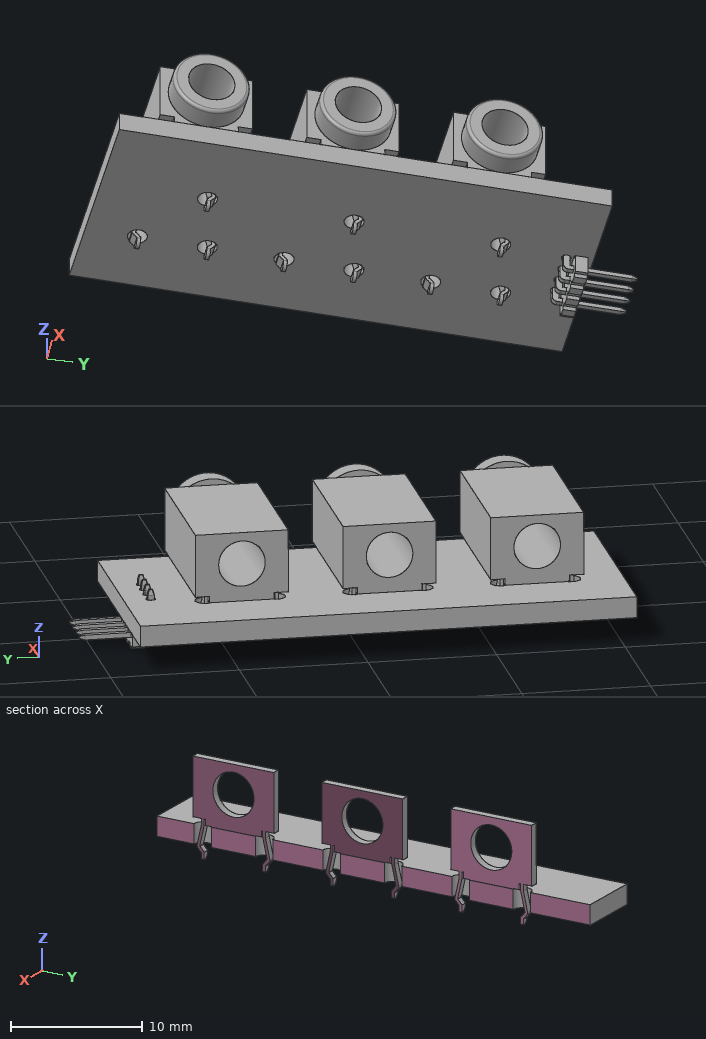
import cadquery as cq
import math


BOARD_X = 17.0
BOARD_Y = 38.6
BOARD_Z = 1.7

JACK_COUNT = 3
JACK_PITCH = 11.48
FIRST_JACK_Y = 6.8
BLOCK_X = 12.2
BLOCK_Y = 7.25
BLOCK_Z = 4.95
FOOT_Y = 5.0
FOOT_Z = 0.5
COLLAR_LENGTH = 1.85
COLLAR_DIAMETER = 5.95
COLLAR_FILLET = 0.25
BORE_DIAMETER = 3.6
JACK_LEFT_X = BOARD_X - BLOCK_X
JACK_AXIS_Z = BOARD_Z + FOOT_Z + BLOCK_Z / 2

LEAD_WIDTH = 1.0
LEAD_THICKNESS = 0.3
LEAD_BOW = 0.38
LEAD_TOP_Z = BOARD_Z + FOOT_Z
BOW_LOW_Z = -0.15
TIP_TOP_Z = -0.6
LEAD_TIP_Z = -1.1
PAIR_LEAD_X = JACK_LEFT_X + 0.67
PAIR_LEAD_Y = 2.75
SINGLE_LEAD_X = JACK_LEFT_X + 6.0
SINGLE_LEAD_Y = 1.5
LEAD_HOLE_DIAMETER = 1.5

LEADS = [
    (PAIR_LEAD_X, PAIR_LEAD_Y, 1),
    (PAIR_LEAD_X, -PAIR_LEAD_Y, -1),
    (SINGLE_LEAD_X, SINGLE_LEAD_Y, 1),
]

PIN_COUNT = 4
PIN_PITCH = 1.25
HEADER_CENTER_X = 8.55
INSULATOR_X = 5.2
INSULATOR_Y = 1.0
INSULATOR_Z = 2.1
INSULATOR_EDGE_GAP = 0.55
NUB_HEIGHT = 0.25
NUB_BASE = 0.92
NUB_END = 0.65
PIN_SIZE = 0.4
STEM_DEPTH = 0.5
PIN_TIP_SIZE = 0.15
PIN_TAPER = 0.4
PIN_BEND_RADIUS = 0.38
PIN_REACH = 3.45
PIN_RISE = 0.75
PIN_INSET = 2.1
PIN_HOLE_DIAMETER = 0.7
PIN_AXIS_Z = -INSULATOR_Z / 2
PIN_STEM_Y = BOARD_Y - PIN_INSET
INSULATOR_CENTER_Y = BOARD_Y - INSULATOR_EDGE_GAP - INSULATOR_Y / 2

jack_ys = [FIRST_JACK_Y + i * JACK_PITCH for i in range(JACK_COUNT)]
pin_xs = [HEADER_CENTER_X + (i - (PIN_COUNT - 1) / 2) * PIN_PITCH for i in range(PIN_COUNT)]


def make_box(size_x, size_y, size_z, center):
    return cq.Workplane("XY").box(size_x, size_y, size_z).translate(center)


def make_cylinders(points, diameter):
    """Upright cylinders as tall as the board is thick."""
    return cq.Workplane("XY").pushPoints(points).circle(diameter / 2).extrude(BOARD_Z)


def make_board():
    """Plate with round clearance holes for the jack leads and the header pins."""
    lead_hole_points = [(x, jack_y + y) for jack_y in jack_ys for x, y, _ in LEADS]
    pin_hole_points = [(x, PIN_STEM_Y) for x in pin_xs]
    board = cq.Workplane("XY").box(BOARD_X, BOARD_Y, BOARD_Z, centered=False)
    board = board.cut(make_cylinders(lead_hole_points, LEAD_HOLE_DIAMETER))
    return board.cut(make_cylinders(pin_hole_points, PIN_HOLE_DIAMETER))


def make_lead(x, y, side):
    """Bowed strip for a jack whose axis lies at Y = 0, cut to a full round at its lower end."""
    outer = y + side * LEAD_THICKNESS / 2
    inner = y - side * LEAD_THICKNESS / 2
    bow = side * LEAD_BOW
    slant_angle = math.atan(LEAD_BOW / (BOW_LOW_Z - TIP_TOP_Z))
    miter = LEAD_THICKNESS * math.tan(slant_angle / 2)
    bowed_strip = (
        cq.Workplane("YZ", origin=(x, 0, 0))
        .polyline([
            (outer, LEAD_TOP_Z),
            (outer, BOARD_Z),
            (outer + bow, 0),
            (outer + bow, BOW_LOW_Z),
            (outer, TIP_TOP_Z),
            (outer, LEAD_TIP_Z),
            (inner, LEAD_TIP_Z),
            (inner, TIP_TOP_Z + miter),
            (inner + bow, BOW_LOW_Z + miter),
            (inner + bow, 0),
            (inner, BOARD_Z),
            (inner, LEAD_TOP_Z),
        ])
        .close()
        .extrude(LEAD_WIDTH / 2, both=True)
    )
    half_width = LEAD_WIDTH / 2
    round_start_z = LEAD_TIP_Z + half_width
    round_ended_outline = (
        cq.Workplane("XZ")
        .moveTo(x - half_width, LEAD_TOP_Z)
        .lineTo(x - half_width, round_start_z)
        .threePointArc((x, LEAD_TIP_Z), (x + half_width, round_start_z))
        .lineTo(x + half_width, LEAD_TOP_Z)
        .close()
        .extrude(BLOCK_Y, both=True)
    )
    return bowed_strip.intersect(round_ended_outline)


def make_jack(jack_y):
    block_center_x = JACK_LEFT_X + BLOCK_X / 2
    jack = make_box(BLOCK_X, BLOCK_Y, BLOCK_Z, (block_center_x, 0, JACK_AXIS_Z))
    jack = jack.union(make_box(BLOCK_X, FOOT_Y, FOOT_Z, (block_center_x, 0, BOARD_Z + FOOT_Z / 2)))
    collar = (
        cq.Workplane("YZ", origin=(BOARD_X, 0, JACK_AXIS_Z))
        .circle(COLLAR_DIAMETER / 2)
        .extrude(COLLAR_LENGTH)
        .faces(">X")
        .edges()
        .fillet(COLLAR_FILLET)
    )
    bore = (
        cq.Workplane("YZ", origin=(JACK_LEFT_X, 0, JACK_AXIS_Z))
        .circle(BORE_DIAMETER / 2)
        .extrude(BLOCK_X + COLLAR_LENGTH)
    )
    jack = jack.union(collar).cut(bore)
    for x, y, side in LEADS:
        jack = jack.union(make_lead(x, y, side))
    return jack.translate((0, jack_y, 0))


def make_insulator():
    """Bar with a tapered nub above and below each pin, and a square hole for each pin."""
    bar_z = INSULATOR_Z - 2 * NUB_HEIGHT
    insulator = make_box(INSULATOR_X, INSULATOR_Y, bar_z, (HEADER_CENTER_X, INSULATOR_CENTER_Y, PIN_AXIS_Z))
    for x in pin_xs:
        nubs = (
            cq.Workplane("XZ", origin=(x, INSULATOR_CENTER_Y, PIN_AXIS_Z))
            .polyline([
                (-NUB_END / 2, INSULATOR_Z / 2),
                (NUB_END / 2, INSULATOR_Z / 2),
                (NUB_BASE / 2, bar_z / 2),
                (NUB_BASE / 2, -bar_z / 2),
                (NUB_END / 2, -INSULATOR_Z / 2),
                (-NUB_END / 2, -INSULATOR_Z / 2),
                (-NUB_BASE / 2, -bar_z / 2),
                (-NUB_BASE / 2, bar_z / 2),
            ])
            .close()
            .extrude(INSULATOR_Y / 2, both=True)
        )
        insulator = insulator.union(nubs)
    for x in pin_xs:
        pin_hole = make_box(PIN_SIZE, INSULATOR_Y, PIN_SIZE, (x, INSULATOR_CENTER_Y, PIN_AXIS_Z))
        insulator = insulator.cut(pin_hole)
    return insulator


def make_pin(x):
    """Square wire along +Y that turns up into a deeper stem through the board, tapered at both ends."""
    half = PIN_SIZE / 2
    half_stem = STEM_DEPTH / 2
    taper_y = BOARD_Y + PIN_REACH - PIN_TAPER
    taper_z = BOARD_Z + PIN_RISE - PIN_TAPER
    taper_angle = math.degrees(math.atan((PIN_SIZE - PIN_TIP_SIZE) / 2 / PIN_TAPER))
    pin = (
        cq.Workplane("YZ", origin=(x, PIN_STEM_Y, PIN_AXIS_Z))
        .polyline([
            (-half_stem, -half),
            (taper_y - PIN_STEM_Y, -half),
            (taper_y - PIN_STEM_Y, half),
            (half_stem, half),
            (half_stem, taper_z - PIN_AXIS_Z),
            (-half_stem, taper_z - PIN_AXIS_Z),
        ])
        .close()
        .extrude(half, both=True)
        .edges("|X and <Y and <Z")
        .fillet(PIN_BEND_RADIUS)
    )
    upper_tip = (
        cq.Workplane("XY", origin=(x, PIN_STEM_Y, taper_z))
        .rect(PIN_SIZE, STEM_DEPTH)
        .extrude(PIN_TAPER, taper=taper_angle)
    )
    outer_tip = (
        cq.Workplane("XZ", origin=(x, taper_y, PIN_AXIS_Z))
        .rect(PIN_SIZE, PIN_SIZE)
        .extrude(-PIN_TAPER, taper=taper_angle)
    )
    return pin.union(upper_tip).union(outer_tip)


board = make_board()
jacks = [make_jack(y) for y in jack_ys]
insulator = make_insulator()
pins = [make_pin(x) for x in pin_xs]

result = cq.Compound.makeCompound([
    board.val(),
    *[jack.val() for jack in jacks],
    insulator.val(),
    *[pin.val() for pin in pins],
])